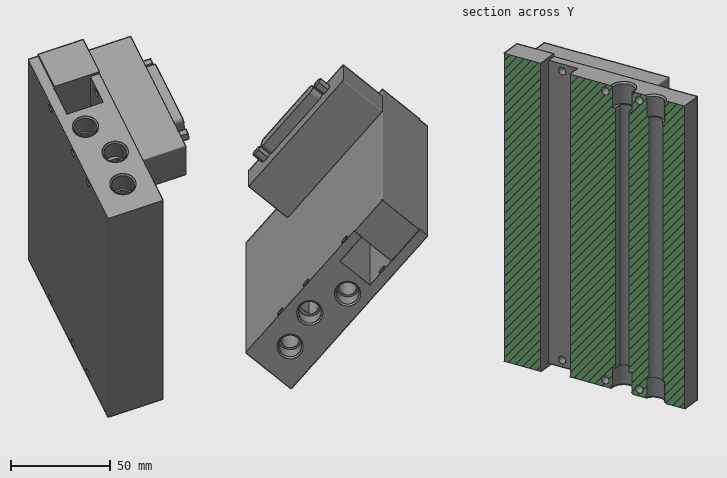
import cadquery as cq
import math


BODY_WIDTH = 106.7
BODY_DEPTH = 30.0
BODY_HEIGHT = 171.0
BODY_EDGE_RADIUS = 0.5

LIP_WIDTH = 21.7
LIP_HEIGHT = 1.5
LIP_FRONT_Y = 5.5

DUCT_WIDTH = 17.2
DUCT_FRONT_Y = 5.3
DUCT_BACK_Y = 25.0

ROUND_BORE_CENTRES = [(49.6, 11.0), (89.7, 15.0)]
FLATTED_BORE_CENTRE = (69.7, 19.0)
PORT_DIAMETER = 11.5
PORT_DEPTH = 12.0
PORT_MOUTH_DIAMETER = 13.2
MOUTH_ANGLE = 45.0
BORE_DIAMETER = 9.5
FLATTED_BORE_WIDTH = 7.8

CROSS_HOLE_DIAMETER = 4.2
CROSS_HOLE_XS = [29.7, 59.7, 79.7]
CROSS_HOLE_INSET = 4.0

HOUSING_WIDTH = 74.0
HOUSING_DEPTH = 25.7
HOUSING_HEIGHT = 24.6
HOUSING_DROP = 9.0
HOUSING_EDGE_RADIUS = 0.5

CONNECTOR_DEPTH = 6.0
SHELL_TOP_WIDTH = 38.5
SHELL_HEIGHT = 9.4
SHELL_SIDE_ANGLE = 10.0
SHELL_CORNER_RADIUS = 2.6
SHELL_DROP = 3.5
SCREW_SPACING = 47.04
SCREW_CORNER_DIAMETER = 6.0
SCREW_DROP = 9.9

BODY_MID_Z = BODY_HEIGHT / 2
HOUSING_TOP_Z = BODY_HEIGHT - HOUSING_DROP
HOUSING_BACK_Y = BODY_DEPTH + HOUSING_DEPTH
CONNECTOR_X = HOUSING_WIDTH / 2


def box(x_size, y_size, z_size, corner):
    """Box with its lowest corner at the given point."""
    return cq.Workplane("XY").box(x_size, y_size, z_size, centered=False).translate(corner)


def at_both_ends(shape):
    """The shape and its mirror image about the body's middle height."""
    return shape.union(shape.mirror("XY", (0, 0, BODY_MID_Z)))


def make_body():
    body = box(BODY_WIDTH, BODY_DEPTH, BODY_HEIGHT, (0, 0, 0))
    return body.edges("|Z").fillet(BODY_EDGE_RADIUS)


def make_lips():
    lip = box(LIP_WIDTH, BODY_DEPTH - LIP_FRONT_Y, LIP_HEIGHT, (0, LIP_FRONT_Y, BODY_HEIGHT))
    return at_both_ends(lip)


def make_duct():
    return box(DUCT_WIDTH, DUCT_BACK_Y - DUCT_FRONT_Y, BODY_HEIGHT, (LIP_WIDTH, DUCT_FRONT_Y, 0))


def make_port(x, y):
    """Countersunk port reaching down from the top of the body."""
    port = cq.Workplane("XY", origin=(x, y, BODY_HEIGHT)).circle(PORT_DIAMETER / 2).extrude(-PORT_DEPTH)
    mouth_depth = (PORT_MOUTH_DIAMETER - PORT_DIAMETER) / 2 / math.tan(math.radians(MOUTH_ANGLE))
    mouth = (
        cq.Workplane("XY", origin=(x, y, BODY_HEIGHT))
        .circle(PORT_MOUTH_DIAMETER / 2)
        .extrude(-mouth_depth, taper=MOUTH_ANGLE)
    )
    return port.union(mouth)


def make_round_bore(x, y):
    return cq.Workplane("XY", origin=(x, y, 0)).circle(BORE_DIAMETER / 2).extrude(BODY_HEIGHT)


def make_flatted_bore(x, y):
    """Round bore with two flat sides facing along X."""
    flats = cq.Workplane("XY", origin=(x, y, 0)).rect(FLATTED_BORE_WIDTH, BORE_DIAMETER)
    return make_round_bore(x, y).intersect(flats.extrude(BODY_HEIGHT))


def make_cross_holes():
    points = [(x, BODY_HEIGHT - CROSS_HOLE_INSET) for x in CROSS_HOLE_XS]
    holes = cq.Workplane("XZ").pushPoints(points).circle(CROSS_HOLE_DIAMETER / 2).extrude(-BODY_DEPTH)
    return at_both_ends(holes)


def make_housing():
    corner = (0, BODY_DEPTH, HOUSING_TOP_Z - HOUSING_HEIGHT)
    housing = box(HOUSING_WIDTH, HOUSING_DEPTH, HOUSING_HEIGHT, corner)
    return housing.edges("|Y").fillet(HOUSING_EDGE_RADIUS)


def make_shell():
    """Connector shell, wider at the bottom than at the top."""
    half_top = SHELL_TOP_WIDTH / 2
    half_bottom = half_top + SHELL_HEIGHT * math.tan(math.radians(SHELL_SIDE_ANGLE))
    outline = [
        (-half_top, 0),
        (half_top, 0),
        (half_bottom, -SHELL_HEIGHT),
        (-half_bottom, -SHELL_HEIGHT),
    ]
    shell = (
        cq.Workplane("XZ", origin=(CONNECTOR_X, HOUSING_BACK_Y, HOUSING_TOP_Z - SHELL_DROP))
        .polyline(outline)
        .close()
        .extrude(-CONNECTOR_DEPTH)
    )
    return shell.edges("|Y").fillet(SHELL_CORNER_RADIUS)


def make_jack_screw(x):
    return (
        cq.Workplane("XZ", origin=(x, HOUSING_BACK_Y, HOUSING_TOP_Z - SCREW_DROP))
        .polygon(6, SCREW_CORNER_DIAMETER)
        .extrude(-CONNECTOR_DEPTH)
    )


result = make_body().union(make_lips()).cut(make_duct())
for centre in ROUND_BORE_CENTRES:
    result = result.cut(make_round_bore(*centre))
result = result.cut(make_flatted_bore(*FLATTED_BORE_CENTRE))
for centre in ROUND_BORE_CENTRES + [FLATTED_BORE_CENTRE]:
    result = result.cut(at_both_ends(make_port(*centre)))
result = result.cut(make_cross_holes())
result = result.union(make_housing()).union(make_shell())
for side in (-1, 1):
    result = result.union(make_jack_screw(CONNECTOR_X + side * SCREW_SPACING / 2))